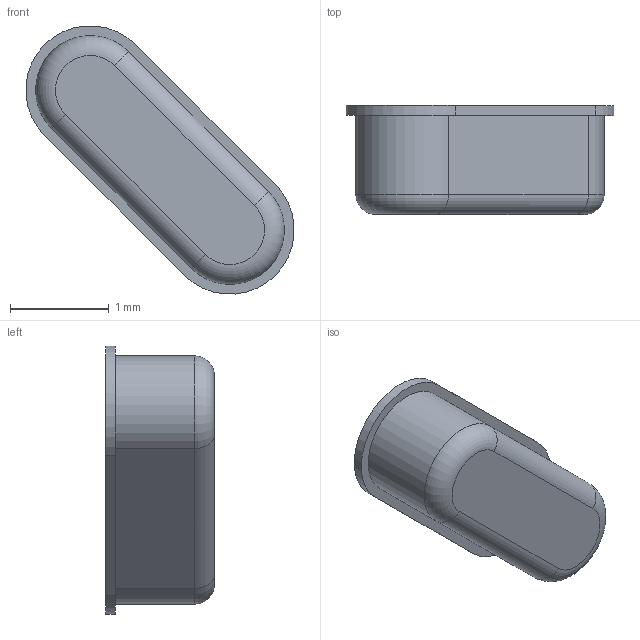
import cadquery as cq

center_distance = 2.0
tilt_angle = 45.0
body_radius = 0.55
flange_overhang = 0.1
flange_thickness = 0.1
body_height = 1.0
face_fillet = 0.2

flange_radius = body_radius + flange_overhang


def stadium(radius, depth):
    """Tilted stadium plate, from Y = 0 toward -Y."""
    return (
        cq.Workplane("XZ")
        .transformed(rotate=(0, 0, -tilt_angle))
        .slot2D(center_distance + 2 * radius, 2 * radius)
        .extrude(depth)
    )


body = stadium(body_radius, flange_thickness + body_height)
body = body.faces("<Y").edges().fillet(face_fillet)

flange = stadium(flange_radius, flange_thickness)

result = flange.union(body)